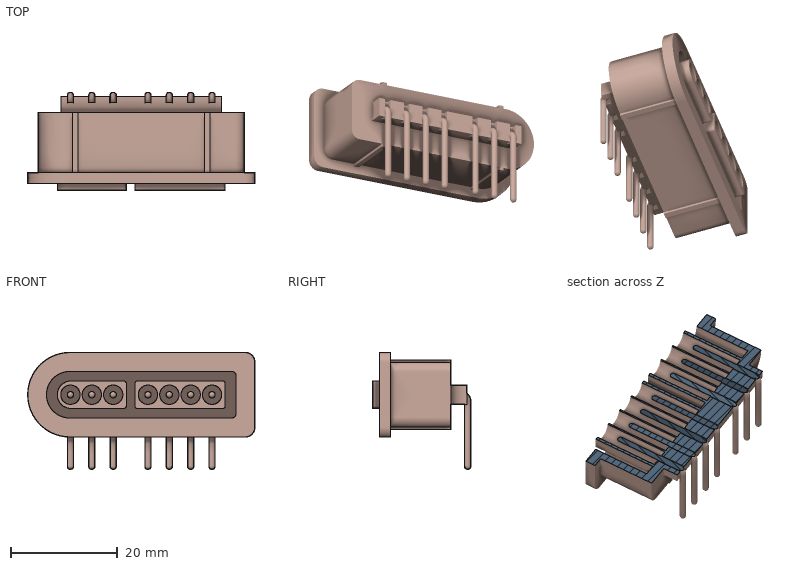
import cadquery as cq
import math


flange_length = 42.6
flange_height = 15.9
flange_thickness = 2.1
flange_corner = 1.85
body_length = 38.65
body_height = 12.0
body_depth = 11.3
body_corner = 1.7
cavity_length = 35.53
cavity_height = 8.75
cavity_corner = 0.8
cavity_floor = flange_thickness
body_rear = flange_thickness + body_depth
cavity_rear = body_rear - cavity_floor

rib_width = 1.02
rib_height = 0.5
rib_spacing = 24.8

pin_diameter = 1.2
pin_radius = pin_diameter / 2
pin_pitch = 4.0
group_gap = 6.5
row_length = 5 * pin_pitch + group_gap
left_group = [-row_length / 2 + i * pin_pitch for i in range(3)]
right_group = [left_group[-1] + group_gap + i * pin_pitch for i in range(4)]
pin_positions = left_group + right_group

block_height = 5.15
block_margin = 2.45
block_corner = 0.5
block_protrusion = 1.28
socket_diameter = 3.6

bar_depth = 3.0
bar_height = 3.58
bar_margin = 1.8
bar_rear = body_rear + bar_depth
slot_depth = 1.2

leg_overhang = 0.75
leg_y = bar_rear + leg_overhang - pin_radius
pin_bend_radius = 1.15
pin_tip_y = flange_thickness
leg_drop = 6.05
leg_tip_z = -flange_height / 2 - leg_drop


def extrude_between(draw_outline, y_front, y_rear):
    """Extrude an XZ outline, laid out by the given function, from y_front to y_rear."""
    plane = cq.Workplane("XZ", origin=(0, y_rear, 0))
    return draw_outline(plane).extrude(y_rear - y_front)


def half_round_prism(x_left, x_right, height, corner, y_front, y_rear):
    """Prism with a half-round left end and two rounded corners on the right."""
    radius = height / 2
    prism = extrude_between(
        lambda plane: plane.moveTo(x_left + radius, radius)
        .lineTo(x_right, radius)
        .lineTo(x_right, -radius)
        .lineTo(x_left + radius, -radius)
        .threePointArc((x_left, 0), (x_left + radius, radius))
        .close(),
        y_front,
        y_rear,
    )
    return prism.edges("|Y and >X").fillet(corner)


def centred_half_round(length, height, corner, y_front, y_rear):
    return half_round_prism(-length / 2, length / 2, height, corner, y_front, y_rear)


def box_between(x_left, x_right, height, y_front, y_rear):
    """Box that is symmetric about Z = 0."""
    return cq.Workplane("XY").box(x_right - x_left, y_rear - y_front, height).translate(
        ((x_left + x_right) / 2, (y_front + y_rear) / 2, 0)
    )


def cylinders_at_pins(diameter, y_front, y_rear):
    points = [(x, 0) for x in pin_positions]
    return extrude_between(lambda plane: plane.pushPoints(points).circle(diameter / 2), y_front, y_rear)


def make_shell():
    """Flange and ribbed body with the mating cavity."""
    shell = centred_half_round(flange_length, flange_height, flange_corner, 0, flange_thickness)
    shell = shell.union(
        centred_half_round(body_length, body_height, body_corner, flange_thickness, body_rear)
    )
    ribbed_height = body_height + 2 * rib_height
    for x in (-rib_spacing / 2, rib_spacing / 2):
        rib_pair = box_between(
            x - rib_width / 2, x + rib_width / 2, ribbed_height, flange_thickness, body_rear
        )
        shell = shell.union(rib_pair)
    return shell.cut(centred_half_round(cavity_length, cavity_height, cavity_corner, 0, cavity_rear))


def make_socket_blocks():
    """Half-round block for the group of three and rectangular block for the group of four."""
    left_block = half_round_prism(
        left_group[0] - block_margin,
        left_group[-1] + block_margin,
        block_height,
        block_corner,
        -block_protrusion,
        cavity_rear,
    )
    right_block = box_between(
        right_group[0] - block_margin,
        right_group[-1] + block_margin,
        block_height,
        -block_protrusion,
        cavity_rear,
    )
    right_block = right_block.edges("|Y").fillet(block_corner)
    sockets = cylinders_at_pins(socket_diameter, -block_protrusion, cavity_rear)
    return left_block.union(right_block).cut(sockets)


def make_rear_bar():
    """Bar behind the body, notched from the rear for each pin leg."""
    bar = box_between(
        pin_positions[0] - bar_margin,
        pin_positions[-1] + bar_margin,
        bar_height,
        body_rear,
        bar_rear,
    )
    for x in pin_positions:
        slot = box_between(x - pin_radius, x + pin_radius, bar_height, bar_rear - slot_depth, bar_rear)
        bar = bar.cut(slot)
    return bar


def make_housing():
    housing = make_shell().union(make_socket_blocks()).union(make_rear_bar())
    return housing.cut(cylinders_at_pins(pin_diameter, cavity_rear, bar_rear))


def make_pin(x):
    """Right-angle round pin with a hemisphere on both ends."""
    contact_end_y = pin_tip_y + pin_radius
    leg_end_z = leg_tip_z + pin_radius
    bend_start_y = leg_y - pin_bend_radius
    bend_middle = (
        bend_start_y + pin_bend_radius * math.sin(math.pi / 4),
        -pin_bend_radius * (1 - math.cos(math.pi / 4)),
    )
    path = (
        cq.Workplane("YZ", origin=(x, 0, 0))
        .moveTo(contact_end_y, 0)
        .lineTo(bend_start_y, 0)
        .threePointArc(bend_middle, (leg_y, -pin_bend_radius))
        .lineTo(leg_y, leg_end_z)
    )
    pin = cq.Workplane("XZ", origin=(x, contact_end_y, 0)).circle(pin_radius).sweep(path)
    for tip_centre in ((x, contact_end_y, 0), (x, leg_y, leg_end_z)):
        pin = pin.union(cq.Workplane("XY").sphere(pin_radius).translate(tip_centre))
    return pin


housing = make_housing()
pins = [make_pin(x) for x in pin_positions]

result = cq.Compound.makeCompound([housing.solids().val(), *[pin.solids().val() for pin in pins]])